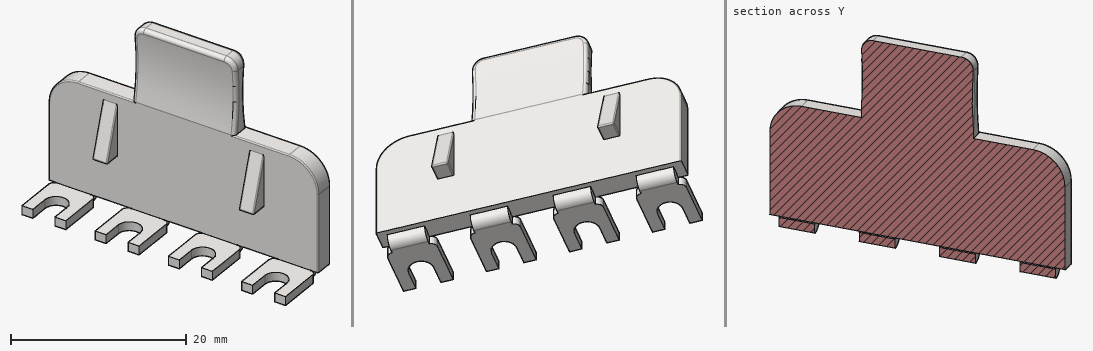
import cadquery as cq
import math

plate_width = 36.8
plate_height = 14.5
plate_thickness = 2.5
plate_corner_radius = 4.0
plate_edge_fillet = 0.15

grip_width = 14.0
grip_height = 10.0
grip_waist_thickness = 1.6
grip_corner_radius = 1.5
grip_edge_fillet = 0.5
grip_root_depth = 0.5

catch_spacing = 20.0
catch_width = 2.0
catch_bottom = 6.35
catch_height = 7.0
catch_reach = 3.463
catch_edge_fillet = 0.15

fork_count = 4
fork_pitch = 10.0
fork_width = 6.0
fork_thickness = 1.2
fork_reach = 7.45
fork_bend_inner_radius = 0.1
fork_shoulder_radius = 0.75
fork_shoulder_start = 1.1
fork_embed_depth = 2.0
slot_width = 3.0
slot_depth = 4.05

plate_half_thickness = plate_thickness / 2
grip_top = plate_height + grip_height
fork_bend_outer_radius = fork_bend_inner_radius + fork_thickness
fork_bottom = -fork_bend_outer_radius
fork_total_height = fork_embed_depth - fork_bottom
bend_center_y = -fork_thickness / 2 - fork_bend_inner_radius


def make_plate():
    """Flat plate with rounded upper corners and softened edges, square along the bottom."""
    plate = cq.Workplane("XY").box(
        plate_width, plate_thickness, plate_height, centered=(True, True, False)
    )
    plate = plate.edges("|Y and >Z").fillet(plate_corner_radius)
    rim = plate.faces("<Y or >Y").edges("not <Z")
    return rim.fillet(plate_edge_fillet)


def make_grip():
    """Tab with a concave arc on each face, rounded top corners and filleted rims."""
    root_z = plate_height - grip_root_depth
    waist_z = plate_height + grip_height / 2
    waist_y = grip_waist_thickness / 2
    side_profile = (
        cq.Workplane("YZ")
        .moveTo(-plate_half_thickness, root_z)
        .lineTo(plate_half_thickness, root_z)
        .lineTo(plate_half_thickness, plate_height)
        .threePointArc((waist_y, waist_z), (plate_half_thickness, grip_top))
        .lineTo(-plate_half_thickness, grip_top)
        .threePointArc((-waist_y, waist_z), (-plate_half_thickness, plate_height))
        .close()
    )
    hollowed = side_profile.extrude(grip_width / 2, both=True)
    outline = cq.Workplane("XY").box(
        grip_width, 2 * plate_thickness, grip_top - root_z, centered=(True, True, False)
    )
    outline = outline.edges("|Y and >Z").fillet(grip_corner_radius)
    grip = hollowed.intersect(outline.translate((0, 0, root_z)))
    rims = grip.edges("(not (|X or |Y or <Z)) or (|X and >Z)")
    return rims.fillet(grip_edge_fillet)


def make_catch(x):
    """Double wedge through the plate, widening downward to a flat underside."""
    catch_top = catch_bottom + catch_height
    wedge = (
        cq.Workplane("YZ")
        .polyline([
            (-catch_reach, catch_bottom),
            (catch_reach, catch_bottom),
            (plate_half_thickness, catch_top),
            (-plate_half_thickness, catch_top),
        ])
        .close()
        .extrude(catch_width / 2, both=True)
    )
    wedge = wedge.edges("not >Z").fillet(catch_edge_fillet)
    return wedge.translate((x, 0, 0))


def point_on_bend(radius):
    """Point (Y, Z) halfway round a fork's quarter-circle bend at the given radius."""
    offset = radius * math.cos(math.pi / 4)
    return (bend_center_y + offset, -offset)


def make_bent_strip():
    """Full-width strip running down from inside the plate and bending forward."""
    leg_half = fork_thickness / 2
    side_profile = (
        cq.Workplane("YZ")
        .moveTo(leg_half, fork_embed_depth)
        .lineTo(leg_half, 0)
        .threePointArc(point_on_bend(fork_bend_outer_radius), (bend_center_y, fork_bottom))
        .lineTo(-fork_reach, fork_bottom)
        .lineTo(-fork_reach, -fork_bend_inner_radius)
        .lineTo(bend_center_y, -fork_bend_inner_radius)
        .threePointArc(point_on_bend(fork_bend_inner_radius), (-leg_half, 0))
        .lineTo(-leg_half, fork_embed_depth)
        .close()
    )
    return side_profile.extrude(fork_width / 2, both=True)


def make_fork_blank():
    """Plan outline of a fork: wide blade with rounded shoulders and a narrower neck behind."""
    blade_length = fork_reach - fork_shoulder_start
    blade = (
        cq.Workplane("XY", origin=(0, -fork_shoulder_start - blade_length / 2, fork_bottom))
        .rect(fork_width, blade_length)
        .extrude(fork_total_height)
        .edges("|Z and >Y")
        .fillet(fork_shoulder_radius)
    )
    neck_width = fork_width - 2 * fork_shoulder_radius
    neck_back_y = fork_thickness / 2
    neck_length = fork_shoulder_start + neck_back_y
    neck = (
        cq.Workplane("XY", origin=(0, neck_back_y - neck_length / 2, fork_bottom))
        .rect(neck_width, neck_length)
        .extrude(fork_total_height)
    )
    return blade.union(neck)


def make_slot():
    """Round-ended slot open at the front end of a fork."""
    slot_radius = slot_width / 2
    slot_end_y = -fork_reach + slot_depth
    slot_center_y = slot_end_y - slot_radius
    return (
        cq.Workplane("XY", origin=(0, 0, fork_bottom))
        .moveTo(-slot_radius, -fork_reach)
        .lineTo(-slot_radius, slot_center_y)
        .threePointArc((0, slot_end_y), (slot_radius, slot_center_y))
        .lineTo(slot_radius, -fork_reach)
        .close()
        .extrude(fork_total_height)
    )


def make_fork(x):
    """Bent fork terminal centred at the given X position."""
    fork = make_bent_strip().intersect(make_fork_blank()).cut(make_slot())
    return fork.translate((x, 0, 0))


result = make_plate().union(make_grip())
for side in (-1, 1):
    result = result.union(make_catch(side * catch_spacing / 2))
for index in range(fork_count):
    result = result.union(make_fork((index - (fork_count - 1) / 2) * fork_pitch))